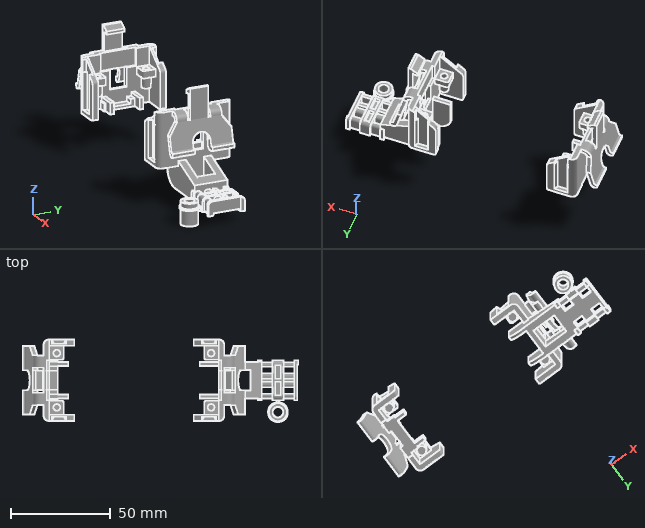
import cadquery as cq
import math


OVERALL_LENGTH = 138.22
OVERALL_HEIGHT = 63.05

FRAME_WIDTH = 41.0
FRAME_HEIGHT = 30.0
PLATE_OUTER_X = 45.4
PLATE_THICKNESS = 3.0
PLATE_INNER_X = PLATE_OUTER_X - PLATE_THICKNESS
PLATE_CORNER_RADIUS = 2.9
WALL_THICKNESS = 3.3
WALL_EDGE_X = 29.9
WALL_EDGE_HEIGHT = 20.6
WALL_UPPER_RADIUS = 2.5
WALL_LOWER_RADIUS = 1.2
WALL_INNER_Y = FRAME_WIDTH / 2 - WALL_THICKNESS

SLOT_START_X = 34.0
SLOT_END_X = 41.3
SLOT_FLOOR_Z = 2.5
SLOT_DEPTH = 2.1
SLOT_RAMP_WIDTH = 1.1
SLOT_RAMP_TOP_Z = 22.5

RECESS_WIDTH = 20.0
RECESS_DEPTH = 1.4
RECESS_FLOOR_Z = 20.5
WINDOW_WIDTH = 9.3
WINDOW_SILL_Z = 10.2
GROOVE_BOTTOM_Z = 0.75

BOSS_INNER_Y = RECESS_WIDTH / 2 + 0.2
BOSS_EDGE_X = 35.2
BOSS_TOP_Z = 20.0
BOSS_BLOCK_HEIGHT = 4.0
BOSS_BOTTOM_Z = 9.9
BOSS_CORNER_RADIUS = 1.0
BOSS_CENTER_X = 38.7
BOSS_CENTER_Y = 13.6
BOSS_BARREL_DIAMETER = 5.2
BOSS_BARREL_DRAFT = 2.0
BOSS_HOLE_DIAMETER = 3.4
BOSS_HOLE_DEPTH = 8.0

RIB_INNER_Y = 7.1
RIB_OUTER_Y = 9.2
RIB_EDGE_X = 32.9
RIB_TOP_Z = 7.0

STRAP_INNER_Y = 6.2
STRAP_OUTER_Y = 12.5
STRAP_BEND_OUTER_RADIUS = 4.25
STRAP_BEND_INNER_RADIUS = 1.85
BEND_CENTER_X = 46.5
BEND_CENTER_Z = FRAME_HEIGHT - STRAP_BEND_OUTER_RADIUS
ARM_OUTER_X = BEND_CENTER_X + STRAP_BEND_OUTER_RADIUS
ARM_INNER_X = BEND_CENTER_X + STRAP_BEND_INNER_RADIUS
ARM_TOP_Z = BEND_CENTER_Z
ARM_BOTTOM_Z = 8.65
ARM_SLOPE = 0.244
ARM_HEEL_X = ARM_INNER_X + ARM_SLOPE * (ARM_TOP_Z - ARM_BOTTOM_Z)
ARM_WIDTH = 34.4
ARM_TOP_WIDTH = 2 * STRAP_OUTER_Y
ARM_SHOULDER_Z = 19.3
LIP_EDGE_X = 55.8
LIP_TOP_Z = 11.2
LIP_TIP_RADIUS = 1.4
ARM_HEEL_RADIUS = 2.5
LIP_ROOT_RADIUS = 1.0
ARCH_WIDTH = 9.8
ARCH_TOP_Z = 19.1
PAD_BOTTOM_X = 50.45

HOOK_WIDTH = 10.0
HOOK_TOP_Z = 42.45
HOOK_TOP_EDGE_X = 49.3
HOOK_TIP_X = 45.65
HOOK_TIP_UPPER_Z = 40.3
HOOK_TIP_LOWER_Z = 38.6
HOOK_ROOT_Z = 39.0

SHELF_EDGE_X = 38.2
SHELF_TOP_Z = 5.0
SHELF_CHANNEL_FLOOR_Z = 2.5
NOTCH_WIDTH = 22.4
NOTCH_HEIGHT = GROOVE_BOTTOM_Z

BASE_END_X = 64.1
BASE_BOTTOM_Z = -13.3
BASE_SLOPE_TOP_Z = 2.7
BASE_SLOPE_END_Z = -4.1
BASE_HEEL_RADIUS = 9.0
BASE_HEEL_TOP_Z = -7.4
BASE_HOLE_END_X = 58.4
BASE_HOLE_WIDTH = 10.1

CROSSBAR_HALF_WIDTH = 10.05
CROSSBAR_TOP_Z = -6.8
CROSSBAR_BOTTOM_Z = -14.6
CROSSBAR_FILLET = 2.2
FOOT_INNER_Y = 7.0
FOOT_RADIUS = 1.2
COLLAR_START_X = 62.0
MIDDLE_BAR_START_X = 69.4
MIDDLE_BAR_END_X = 75.0
END_BAR_START_X = 80.3
END_BAR_END_X = 82.0
NUB_END_X = OVERALL_LENGTH - LIP_EDGE_X
NUB_INNER_Y = 7.8
BAR_SLOT_WIDTH = 2.6
BAR_SLOT_INNER_Y = 0.85
BAR_SLOT_OUTER_Y = 7.5
BAR_SLOT_DEPTH = 2.0

RAIL_TOP_Z = -7.3
RAIL_BOTTOM_Z = -14.1
RAIL_FILLET = 1.5
SIDE_RAIL_INNER_Y = 6.7
SIDE_RAIL_OUTER_Y = 9.15
CENTER_RAIL_INNER_Y = 0.85
CENTER_RAIL_OUTER_Y = 3.55
RAIL_WEB_TOP_Z = -12.0

SLEEVE_X = (MIDDLE_BAR_START_X + MIDDLE_BAR_END_X) / 2
SLEEVE_Y = -16.0
SLEEVE_TOP_Z = -8.4
SLEEVE_BOTTOM_Z = HOOK_TOP_Z - OVERALL_HEIGHT
SLEEVE_DIAMETER = 9.0
SLEEVE_BORE = 5.2
SLEEVE_FLANGE_DIAMETER = 10.0
FLANGE_TOP_Z = -11.2
FLANGE_BOTTOM_Z = -12.1
TETHER_WIDTH = 1.2


def box(x_range, y_range, z_range):
    """Axis-aligned block between the given limits."""
    sizes = [limits[1] - limits[0] for limits in (x_range, y_range, z_range)]
    return cq.Workplane().box(*sizes, centered=False).translate((x_range[0], y_range[0], z_range[0]))


def centered_box(x_range, width, z_range):
    """Axis-aligned block that is symmetric about Y = 0."""
    return box(x_range, (-width / 2, width / 2), z_range)


def side_profile(points, y_start, y_end):
    """Closed XZ outline extruded from y_start to y_end."""
    outline = cq.Workplane("XZ", origin=(0, y_start, 0)).polyline(points).close()
    return outline.extrude(y_start - y_end)


def both_sides(shape):
    """The shape together with its reflection in Y = 0."""
    return shape.union(shape.mirror("XZ"))


def round_edge(shape, x, z, radius):
    """Round the Y-parallel edge that passes through (x, z)."""
    reach = 0.05
    low_corner = (x - reach, -FRAME_WIDTH, z - reach)
    high_corner = (x + reach, FRAME_WIDTH, z + reach)
    selector = cq.selectors.BoxSelector(low_corner, high_corner)
    return shape.edges("|Y").edges(selector).fillet(radius)


def side_wall():
    """Sloped side wall with its tapered outside slot, on the +Y side."""
    outer_y = FRAME_WIDTH / 2
    outline = [
        (PLATE_INNER_X, 0),
        (WALL_EDGE_X, 0),
        (WALL_EDGE_X, WALL_EDGE_HEIGHT),
        (PLATE_INNER_X, FRAME_HEIGHT),
    ]
    wall = side_profile(outline, WALL_INNER_Y, outer_y)
    wall = round_edge(wall, WALL_EDGE_X, 0, WALL_LOWER_RADIUS)
    wall = round_edge(wall, WALL_EDGE_X, WALL_EDGE_HEIGHT, WALL_UPPER_RADIUS)

    floor_y = outer_y - SLOT_DEPTH
    slot = box((SLOT_START_X, SLOT_END_X), (floor_y, outer_y), (SLOT_FLOOR_Z, FRAME_HEIGHT))
    for edge_x, inward in ((SLOT_START_X, 1), (SLOT_END_X, -1)):
        ramp_outline = [(edge_x, outer_y), (edge_x, floor_y), (edge_x + inward * SLOT_RAMP_WIDTH, floor_y)]
        ramp = cq.Workplane(origin=(0, 0, SLOT_FLOOR_Z)).polyline(ramp_outline).close()
        slot = slot.cut(ramp.extrude(SLOT_RAMP_TOP_Z - SLOT_FLOOR_Z))
    return wall.cut(slot)


def screw_boss():
    """Square boss block with a round barrel below and a blind screw hole, on the +Y side."""
    block_bottom_z = BOSS_TOP_Z - BOSS_BLOCK_HEIGHT
    block = box((BOSS_EDGE_X, PLATE_INNER_X), (BOSS_INNER_Y, WALL_INNER_Y), (block_bottom_z, BOSS_TOP_Z))
    block = block.edges("|Z and <X and <Y").fillet(BOSS_CORNER_RADIUS)
    axis = cq.Workplane(origin=(BOSS_CENTER_X, BOSS_CENTER_Y, BOSS_TOP_Z))
    barrel = (
        cq.Workplane("XY", origin=(BOSS_CENTER_X, BOSS_CENTER_Y, block_bottom_z))
        .circle(BOSS_BARREL_DIAMETER / 2)
        .extrude(BOSS_BOTTOM_Z - block_bottom_z, taper=BOSS_BARREL_DRAFT)
    )
    hole = axis.circle(BOSS_HOLE_DIAMETER / 2).extrude(-BOSS_HOLE_DEPTH)
    return block.union(barrel).cut(hole)


def frame():
    """Back plate with recess, window and groove, side walls and screw bosses."""
    plate = centered_box((PLATE_INNER_X, PLATE_OUTER_X), FRAME_WIDTH, (0, FRAME_HEIGHT))
    plate = plate.edges("|Z and >X").fillet(PLATE_CORNER_RADIUS)
    recess_x = (PLATE_INNER_X, PLATE_INNER_X + RECESS_DEPTH)
    recess = centered_box(recess_x, RECESS_WIDTH, (RECESS_FLOOR_Z, FRAME_HEIGHT))
    window_x = (PLATE_INNER_X, PLATE_OUTER_X)
    window = centered_box(window_x, WINDOW_WIDTH, (WINDOW_SILL_Z, RECESS_FLOOR_Z))
    groove_x = (PLATE_INNER_X + RECESS_DEPTH, PLATE_OUTER_X)
    groove = centered_box(groove_x, WINDOW_WIDTH, (GROOVE_BOTTOM_Z, WINDOW_SILL_Z))
    plate = plate.cut(recess).cut(window).cut(groove)
    return plate.union(both_sides(side_wall())).union(both_sides(screw_boss()))


def straps():
    """Pair of bent straps that carry the spring arm on the top of the back plate."""
    strap_bottom_z = BEND_CENTER_Z + STRAP_BEND_INNER_RADIUS
    inner_bend_end = (BEND_CENTER_X, strap_bottom_z)
    diagonal = math.sqrt(0.5)
    outer_mid = STRAP_BEND_OUTER_RADIUS * diagonal
    inner_mid = STRAP_BEND_INNER_RADIUS * diagonal
    strap = (
        cq.Workplane("XZ", origin=(0, STRAP_INNER_Y, 0))
        .moveTo(PLATE_OUTER_X, FRAME_HEIGHT)
        .lineTo(BEND_CENTER_X, FRAME_HEIGHT)
        .threePointArc((BEND_CENTER_X + outer_mid, BEND_CENTER_Z + outer_mid), (ARM_OUTER_X, BEND_CENTER_Z))
        .lineTo(ARM_INNER_X, BEND_CENTER_Z)
        .threePointArc((BEND_CENTER_X + inner_mid, BEND_CENTER_Z + inner_mid), inner_bend_end)
        .lineTo(PLATE_OUTER_X, strap_bottom_z)
        .close()
        .extrude(STRAP_INNER_Y - STRAP_OUTER_Y)
    )
    return both_sides(strap)


def arm():
    """Sloping spring arm with an outward lip, bevelled shoulders and an arched cut-out."""
    lip_root_x = ARM_OUTER_X + ARM_SLOPE * (ARM_TOP_Z - LIP_TOP_Z)
    outline = [
        (ARM_INNER_X, ARM_TOP_Z),
        (ARM_HEEL_X, ARM_BOTTOM_Z),
        (LIP_EDGE_X, ARM_BOTTOM_Z),
        (LIP_EDGE_X, LIP_TOP_Z),
        (lip_root_x, LIP_TOP_Z),
        (ARM_OUTER_X, ARM_TOP_Z),
    ]
    blade = side_profile(outline, -ARM_WIDTH / 2, ARM_WIDTH / 2)
    blade = round_edge(blade, ARM_HEEL_X, ARM_BOTTOM_Z, ARM_HEEL_RADIUS)
    blade = round_edge(blade, LIP_EDGE_X, ARM_BOTTOM_Z, LIP_TIP_RADIUS)
    blade = round_edge(blade, lip_root_x, LIP_TOP_Z, LIP_ROOT_RADIUS)

    shoulder = (
        cq.Workplane("YZ", origin=(PLATE_OUTER_X, 0, 0))
        .moveTo(ARM_WIDTH / 2, ARM_SHOULDER_Z)
        .lineTo(ARM_WIDTH / 2, ARM_TOP_Z)
        .lineTo(ARM_TOP_WIDTH / 2, ARM_TOP_Z)
        .close()
        .extrude(LIP_EDGE_X - PLATE_OUTER_X)
    )
    return blade.cut(both_sides(shoulder)).cut(arch())


def arch():
    """Round-topped cut-out through the middle of the spring arm."""
    radius = ARCH_WIDTH / 2
    depth = LIP_EDGE_X - PLATE_OUTER_X
    crown_z = ARCH_TOP_Z - radius
    crown = cq.Workplane("YZ", origin=(PLATE_OUTER_X, 0, crown_z)).circle(radius).extrude(depth)
    return crown.union(centered_box((PLATE_OUTER_X, LIP_EDGE_X), ARCH_WIDTH, (ARM_BOTTOM_Z, crown_z)))


def hook():
    """Upright latch hook above the spring arm, its nose pointing to the inside."""
    outline = [
        (ARM_OUTER_X, ARM_TOP_Z),
        (ARM_OUTER_X, HOOK_TOP_Z),
        (HOOK_TOP_EDGE_X, HOOK_TOP_Z),
        (HOOK_TIP_X, HOOK_TIP_UPPER_Z),
        (HOOK_TIP_X, HOOK_TIP_LOWER_Z),
        (ARM_INNER_X, HOOK_ROOT_Z),
        (ARM_INNER_X, ARM_TOP_Z),
    ]
    return side_profile(outline, -HOOK_WIDTH / 2, HOOK_WIDTH / 2)


def clip():
    """Frame with spring arm and hook, common to both clips."""
    return frame().union(straps()).union(arm()).union(hook())


def plain_clip():
    """Clip without base; a channelled shelf with two ribs lies inside its back plate."""
    shelf_x = (SHELF_EDGE_X, PLATE_INNER_X)
    shelf = centered_box(shelf_x, RECESS_WIDTH, (NOTCH_HEIGHT, SHELF_TOP_Z))
    channel = centered_box(shelf_x, WINDOW_WIDTH, (SHELF_CHANNEL_FLOOR_Z, SHELF_TOP_Z))
    rib = box((RIB_EDGE_X, PLATE_INNER_X), (RIB_INNER_Y, RIB_OUTER_Y), (NOTCH_HEIGHT, RIB_TOP_Z))
    notch = centered_box((PLATE_INNER_X, PLATE_OUTER_X), NOTCH_WIDTH, (0, NOTCH_HEIGHT))
    body = clip().cut(notch).union(shelf.cut(channel)).union(both_sides(rib))
    return body.mirror("YZ")


def arm_pads():
    """Thickening on the inner face of the arm, either side of the arch."""
    tip_x = ARM_HEEL_X + ARM_HEEL_RADIUS / 2
    outline = [(ARM_INNER_X, ARM_TOP_Z), (PAD_BOTTOM_X, ARM_BOTTOM_Z), (tip_x, ARM_BOTTOM_Z)]
    pad = side_profile(outline, ARCH_WIDTH / 2, STRAP_OUTER_Y)
    pad = round_edge(pad, PAD_BOTTOM_X, ARM_BOTTOM_Z, ARM_HEEL_RADIUS)
    return both_sides(pad)


def base():
    """Base below the back plate: two rounded ribs inside, a pierced block outside."""
    heel_center_z = BASE_BOTTOM_Z + BASE_HEEL_RADIUS
    heel_angle = math.asin((heel_center_z - BASE_HEEL_TOP_Z) / BASE_HEEL_RADIUS)
    heel_center_x = RIB_EDGE_X + BASE_HEEL_RADIUS * math.cos(heel_angle)
    middle_angle = (heel_angle + math.pi / 2) / 2
    heel_middle = (
        heel_center_x - BASE_HEEL_RADIUS * math.cos(middle_angle),
        heel_center_z - BASE_HEEL_RADIUS * math.sin(middle_angle),
    )
    block = (
        cq.Workplane("XZ", origin=(0, -RIB_OUTER_Y, 0))
        .moveTo(RIB_EDGE_X, RIB_TOP_Z)
        .lineTo(PLATE_OUTER_X, RIB_TOP_Z)
        .lineTo(PLATE_OUTER_X, BASE_SLOPE_TOP_Z)
        .lineTo(BASE_END_X, BASE_SLOPE_END_Z)
        .lineTo(BASE_END_X, BASE_BOTTOM_Z)
        .lineTo(heel_center_x, BASE_BOTTOM_Z)
        .threePointArc(heel_middle, (RIB_EDGE_X, BASE_HEEL_TOP_Z))
        .close()
        .extrude(-2 * RIB_OUTER_Y)
    )
    rib_gap = centered_box((RIB_EDGE_X, PLATE_INNER_X), 2 * RIB_INNER_Y, (BASE_BOTTOM_Z, RIB_TOP_Z))
    hole = centered_box((PLATE_OUTER_X, BASE_HOLE_END_X), BASE_HOLE_WIDTH, (BASE_BOTTOM_Z, BASE_SLOPE_TOP_Z))
    return block.cut(rib_gap).cut(hole)


def crossbar(start_x, end_x):
    """Bar along Y with rounded top corners and a rounded foot at each end."""
    bar = centered_box((start_x, end_x), 2 * CROSSBAR_HALF_WIDTH, (BASE_BOTTOM_Z, CROSSBAR_TOP_Z))
    bar = bar.edges("|X and >Z").fillet(CROSSBAR_FILLET)
    foot = box((start_x, end_x), (FOOT_INNER_Y, CROSSBAR_HALF_WIDTH), (CROSSBAR_BOTTOM_Z, BASE_BOTTOM_Z))
    foot = foot.edges("|X and <Y and <Z").fillet(FOOT_RADIUS)
    return bar.union(both_sides(foot))


def rail(inner_y, outer_y, bottom_z):
    """Pair of rails along X with the outer top edge rounded."""
    bar = box((BASE_END_X, END_BAR_START_X), (inner_y, outer_y), (bottom_z, RAIL_TOP_Z))
    return both_sides(bar.edges("|X and >Y and >Z").fillet(RAIL_FILLET))


def cable_frame():
    """Ladder-like frame behind the base: slotted middle bar, end bar and rails."""
    slot_x = (SLEEVE_X - BAR_SLOT_WIDTH / 2, SLEEVE_X + BAR_SLOT_WIDTH / 2)
    slot_y = (BAR_SLOT_INNER_Y, BAR_SLOT_OUTER_Y)
    slot = box(slot_x, slot_y, (CROSSBAR_TOP_Z - BAR_SLOT_DEPTH, CROSSBAR_TOP_Z))
    nub_start_x = (END_BAR_START_X + END_BAR_END_X) / 2
    end_bar = crossbar(END_BAR_START_X, END_BAR_END_X)
    long_end = crossbar(END_BAR_START_X, NUB_END_X)
    nub_y = (NUB_INNER_Y, CROSSBAR_HALF_WIDTH)
    corner = box((nub_start_x, NUB_END_X), nub_y, (CROSSBAR_BOTTOM_Z, CROSSBAR_TOP_Z))
    web_x = (BASE_END_X, END_BAR_START_X)
    web = centered_box(web_x, 2 * CENTER_RAIL_INNER_Y, (BASE_BOTTOM_Z, RAIL_WEB_TOP_Z))
    return (
        rail(SIDE_RAIL_INNER_Y, SIDE_RAIL_OUTER_Y, RAIL_BOTTOM_Z)
        .union(rail(CENTER_RAIL_INNER_Y, CENTER_RAIL_OUTER_Y, BASE_BOTTOM_Z))
        .union(web)
        .union(crossbar(MIDDLE_BAR_START_X, MIDDLE_BAR_END_X))
        .cut(both_sides(slot))
        .union(end_bar)
        .union(long_end.intersect(corner))
    )


def sleeve():
    """Flanged sleeve beside the middle bar with the tether that holds it."""
    height = SLEEVE_TOP_Z - SLEEVE_BOTTOM_Z
    axis = cq.Workplane(origin=(SLEEVE_X, SLEEVE_Y, SLEEVE_BOTTOM_Z))
    tube = axis.circle(SLEEVE_DIAMETER / 2).extrude(height)
    flange = cq.Workplane(origin=(SLEEVE_X, SLEEVE_Y, FLANGE_BOTTOM_Z)).circle(SLEEVE_FLANGE_DIAMETER / 2)
    tube = tube.union(flange.extrude(FLANGE_TOP_Z - FLANGE_BOTTOM_Z))
    tether_x = (SLEEVE_X - TETHER_WIDTH / 2, SLEEVE_X + TETHER_WIDTH / 2)
    tether = box(tether_x, (SLEEVE_Y, -CROSSBAR_HALF_WIDTH), (CROSSBAR_BOTTOM_Z, FLANGE_BOTTOM_Z))
    bore = axis.circle(SLEEVE_BORE / 2).extrude(height)
    return tube.union(tether).cut(bore)


def cable_clip():
    """Clip with the base, cable frame and sleeve attached."""
    body = clip().union(arm_pads()).union(base())
    return body.union(crossbar(COLLAR_START_X, BASE_END_X)).union(cable_frame()).union(sleeve())


plain = plain_clip()
cable = cable_clip()
result = cq.Compound.makeCompound([plain.val(), cable.val()])